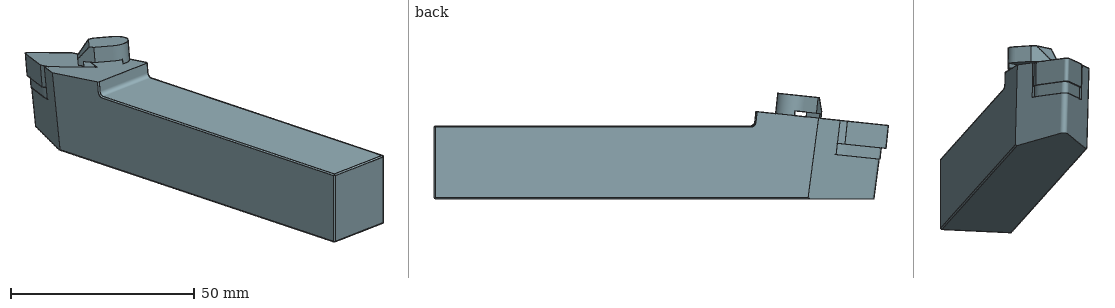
import cadquery as cq
import math

TOTAL_LENGTH = 124.1
SHANK_SIZE = 20.0
SHANK_CHAMFER = 0.4
HEAD_TILT = 6
HEAD_END_X = 36.2
STEP_FILLET = 1.2

NOSE_ANGLE = 55
INSCRIBED_DIAMETER = 12.7
INSERT_THICKNESS = 6.3
CORNER_RADIUS = 0.7
TIP_Z = 20.1

SHIM_THICKNESS = 3.1
POCKET_OVERCUT = 1.2
NOSE_SETBACK = 0.9
NOSE_TILT = 7.5
NOSE_RADIUS = 1.1
SHIM_SIDE_RADIUS = 5.7

CLAMP_X = 27.5
CLAMP_Y = 6.7
CLAMP_DIRECTION = 45
CLAMP_RADIUS = 4.3
CLAMP_TAPER_START = -5.2
CLAMP_HEIGHT = 5.6
CLAMP_RAMP_START = -6.5
CLAMP_NOSE_END = -9.8
CLAMP_NOSE_WIDTH = 3.5
CLAMP_NOSE_HEIGHT = 1.9
CLAMP_GAP_START = -8.3
CLAMP_GAP_END = 2.4
CLAMP_GAP_HEIGHT = 1.2

half_angle = math.radians(NOSE_ANGLE / 2)
tilt = math.radians(HEAD_TILT)
insert_half_length = INSCRIBED_DIAMETER / 2 / math.sin(half_angle)
corner_cut = CORNER_RADIUS * (1 / math.sin(half_angle) - 1)


def tilted_plane(degrees):
    """Plane through the insert's theoretical sharp corner, rising toward the shank."""
    slope = math.radians(degrees)
    return cq.Plane(
        origin=(-corner_cut * math.cos(tilt), 0, TIP_Z - corner_cut * math.sin(tilt)),
        xDir=(math.cos(slope), 0, math.sin(slope)),
        normal=(-math.sin(slope), 0, math.cos(slope)),
    )


head_plane = tilted_plane(HEAD_TILT)
nose_plane = tilted_plane(NOSE_TILT)


def rhombus_prism(front_x, back_x, top, depth):
    """Rhombus between two sharp corners on the head's X axis, extruded downward."""
    middle_x = (front_x + back_x) / 2
    half_width = (back_x - front_x) / 2 * math.tan(half_angle)
    corners = [(front_x, 0), (middle_x, -half_width), (back_x, 0), (middle_x, half_width)]
    return cq.Workplane(head_plane).workplane(offset=top).polyline(corners).close().extrude(-depth)


def round_upright_edge(prism, side, radius, plane=head_plane):
    """Fillet the edge at one side among those square to the plane."""
    upright_edges = cq.selectors.ParallelDirSelector(plane.zDir)
    return prism.edges(upright_edges).edges(side).fillet(radius)


def make_insert():
    """Rhombic insert with rounded sharp corners and flats across the blunt ones."""
    rhombus = rhombus_prism(0, 2 * insert_half_length, 0, INSERT_THICKNESS)
    band = (
        cq.Workplane(head_plane)
        .center(insert_half_length, 0)
        .rect(2 * insert_half_length, INSCRIBED_DIAMETER)
        .extrude(-INSERT_THICKNESS)
    )
    for side in ("<X", ">X"):
        rhombus = round_upright_edge(rhombus, side, CORNER_RADIUS)
    return rhombus.intersect(band)


def make_shank_and_head():
    """Side profile across the full width, with a pointed nose and a sloping top."""
    head_top = TIP_Z + HEAD_END_X * math.tan(tilt)
    step_x = HEAD_END_X + (head_top - SHANK_SIZE) * math.tan(tilt)
    profile = [
        (0, 0),
        (TOTAL_LENGTH, 0),
        (TOTAL_LENGTH, SHANK_SIZE),
        (step_x, SHANK_SIZE),
        (HEAD_END_X, head_top),
        (0, TIP_Z),
    ]
    body = cq.Workplane("XZ").polyline(profile).close().extrude(SHANK_SIZE / 2, both=True)
    inner_corner = cq.selectors.NearestToPointSelector((step_x, 0, SHANK_SIZE))
    body = body.edges("|Y").edges(inner_corner).fillet(STEP_FILLET)
    body = body.faces(">X").edges().chamfer(SHANK_CHAMFER)
    body = body.edges("|X").chamfer(SHANK_CHAMFER)

    nose_back = 2 * TOTAL_LENGTH + NOSE_SETBACK
    half_width = 2 * TOTAL_LENGTH * math.tan(half_angle)
    nose = (
        cq.Workplane(nose_plane)
        .polyline([(NOSE_SETBACK, 0), (nose_back, -half_width), (nose_back, half_width)])
        .close()
        .extrude(TOTAL_LENGTH, both=True)
    )
    nose = round_upright_edge(nose, "<X", NOSE_RADIUS, nose_plane)
    return body.intersect(nose)


def make_pocket():
    """Pocket for the insert and shim, open above and in front."""
    depth = INSERT_THICKNESS + SHIM_THICKNESS
    return rhombus_prism(0, 2 * insert_half_length, POCKET_OVERCUT, POCKET_OVERCUT + depth)


def make_shim():
    """Shim seated on the pocket floor, set back at the front and rounded at the blunt corners."""
    back_x = 2 * insert_half_length
    shim = rhombus_prism(NOSE_SETBACK, back_x, -INSERT_THICKNESS, SHIM_THICKNESS)
    shim = round_upright_edge(shim, "<X", NOSE_RADIUS)
    for side in ("<Y", ">Y"):
        shim = round_upright_edge(shim, side, SHIM_SIDE_RADIUS)
    return shim


def make_clamp():
    """Bridge clamp: round heel on the head, ramped and tapered nose on the insert."""
    plan = (
        cq.Workplane("XY")
        .moveTo(0, -CLAMP_RADIUS)
        .threePointArc((CLAMP_RADIUS, 0), (0, CLAMP_RADIUS))
        .lineTo(CLAMP_TAPER_START, CLAMP_RADIUS)
        .lineTo(CLAMP_NOSE_END, CLAMP_NOSE_WIDTH / 2)
        .lineTo(CLAMP_NOSE_END, -CLAMP_NOSE_WIDTH / 2)
        .lineTo(CLAMP_TAPER_START, -CLAMP_RADIUS)
        .close()
        .extrude(CLAMP_HEIGHT)
    )
    side_profile = [
        (CLAMP_NOSE_END, 0),
        (CLAMP_GAP_START, 0),
        (CLAMP_GAP_START, CLAMP_GAP_HEIGHT),
        (CLAMP_GAP_END, CLAMP_GAP_HEIGHT),
        (CLAMP_GAP_END, 0),
        (CLAMP_RADIUS, 0),
        (CLAMP_RADIUS, CLAMP_HEIGHT),
        (CLAMP_RAMP_START, CLAMP_HEIGHT),
        (CLAMP_NOSE_END, CLAMP_NOSE_HEIGHT),
    ]
    side = cq.Workplane("XZ").polyline(side_profile).close().extrude(CLAMP_RADIUS, both=True)
    clamp = plan.intersect(side).rotate((0, 0, 0), (0, 0, 1), CLAMP_DIRECTION)
    clamp = clamp.translate((CLAMP_X, CLAMP_Y, 0))
    return cq.Workplane(clamp.val().moved(cq.Location(head_plane)))


def make_holder():
    """Shank and head in one piece with the shim and the clamp."""
    return make_shank_and_head().cut(make_pocket()).union(make_shim()).union(make_clamp())


insert = make_insert()
holder = make_holder()
result = cq.Compound.makeCompound([*holder.solids().vals(), *insert.solids().vals()])